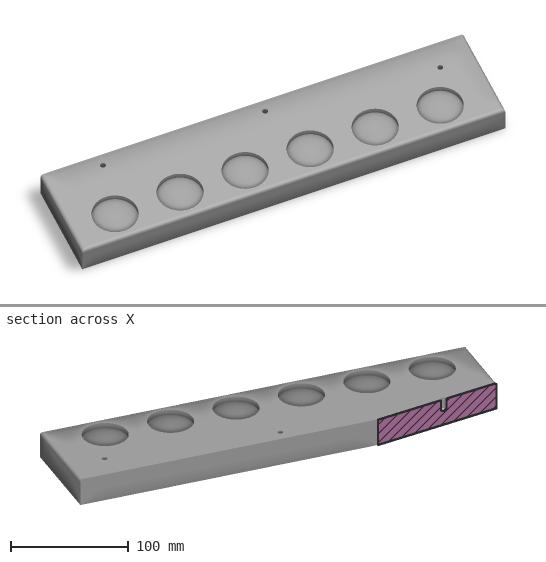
import cadquery as cq
import math

plate_width = 89.96
plate_length = 390.4
plate_height = 25.0
edge_radius = 3.0
turn_angle = -9.9

pocket_diameter = 40.0
pocket_depth = 5.0
pocket_count = 6
pocket_pitch = 60.0
pocket_row_x = 18.8
pocket_row_center_y = -3.8

drill_diameter = 5.0
drill_depth = 10.0
drill_tip_angle = 118.0
drill_centers = [(-19.2, 162.5), (-33.8, 7.2), (-33.8, -142.4)]


def make_plate():
    """Block with three rounded top edges; the -X top edge stays sharp."""
    block = cq.Workplane("XY").box(
        plate_width, plate_length, plate_height, centered=(True, True, False)
    )
    return block.faces(">Z").edges(">X or >Y or <Y").fillet(edge_radius)


def cut_pockets(body):
    """Shallow round pockets, evenly spaced along the plate."""
    first_y = pocket_row_center_y - pocket_pitch * (pocket_count - 1) / 2
    centers = [(pocket_row_x, first_y + i * pocket_pitch) for i in range(pocket_count)]
    floor = cq.Workplane("XY").workplane(offset=plate_height - pocket_depth)
    pockets = floor.pushPoints(centers).circle(pocket_diameter / 2).extrude(pocket_depth)
    return body.cut(pockets)


def make_drill(x, y):
    """Solid of one drilled hole: a half profile revolved about the hole axis."""
    radius = drill_diameter / 2
    shoulder_z = plate_height - drill_depth
    tip_z = shoulder_z - radius / math.tan(math.radians(drill_tip_angle / 2))
    profile = (
        cq.Workplane("XZ")
        .moveTo(0, tip_z)
        .lineTo(radius, shoulder_z)
        .lineTo(radius, plate_height)
        .lineTo(0, plate_height)
        .close()
    )
    return profile.revolve(360, (0, 0, 0), (0, 1, 0)).translate((x, y, 0))


def cut_drilled_holes(body):
    """Drilled holes sunk from the top face."""
    for x, y in drill_centers:
        body = body.cut(make_drill(x, y))
    return body


plate = cut_drilled_holes(cut_pockets(make_plate()))
result = plate.rotate((0, 0, 0), (0, 0, 1), turn_angle)